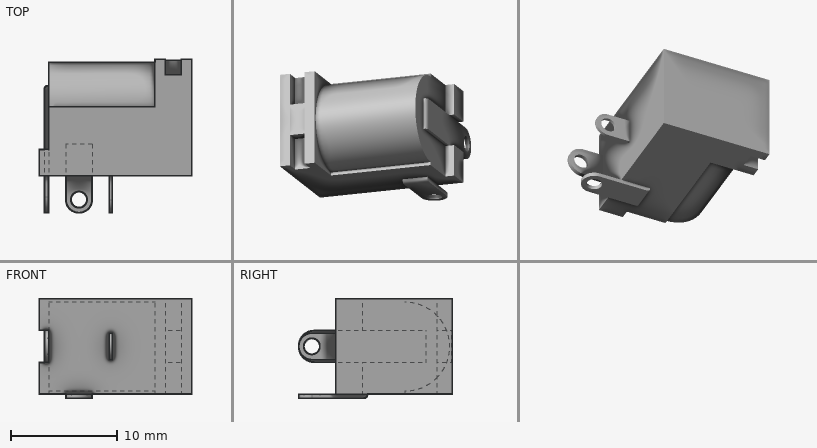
import cadquery as cq


LENGTH = 14.4
DEPTH = 11.0
HEIGHT = 9.0
BARREL_RADIUS = 4.2
BARREL_Y = 6.51
FLANGE_THICKNESS = 3.5
SHOULDER_LENGTH = 0.9
SHOULDER_DEPTH = 2.5
FLANGE_X = LENGTH - FLANGE_THICKNESS

SLOT_OFFSET = 1.0
SLOT_SIZE = 1.5
CONTACT_RECESS = 0.1
CONTACT_HEIGHT = 3.0
SLOT_X = FLANGE_X + SLOT_OFFSET
SLOT_Y = DEPTH - SLOT_SIZE

TERMINAL_REACH = 14.5 - DEPTH
HOLE_DIAMETER = 1.5
HOLE_REACH = 2.25
BEND_RADIUS = 0.35
NARROW_WIDTH = 2.5
NARROW_TIP_RADIUS = NARROW_WIDTH / 2

END_WIDTH = 3.0
END_THICKNESS = 0.4
END_INNER_Y = 8.51

BOTTOM_THICKNESS = 0.39
BOTTOM_X = 3.75
BOTTOM_INNER_Y = 3.0

MIDDLE_THICKNESS = 0.3
MIDDLE_X = 6.6


def block(x_size, y_size, z_size, x_start, y_start):
    """Box placed by its low X and Y faces and centred on z = 0."""
    box = cq.Workplane("XY").box(x_size, y_size, z_size, centered=(False, False, True))
    return box.translate((x_start, y_start, 0))


def make_housing():
    barrel_length = FLANGE_X - SHOULDER_LENGTH
    base = block(barrel_length, BARREL_Y, HEIGHT, SHOULDER_LENGTH, 0)
    barrel = (
        cq.Workplane("YZ", origin=(SHOULDER_LENGTH, BARREL_Y, 0))
        .circle(BARREL_RADIUS)
        .extrude(barrel_length)
    )
    flange = block(FLANGE_THICKNESS, DEPTH, HEIGHT, FLANGE_X, 0)
    shoulder = block(SHOULDER_LENGTH, SHOULDER_DEPTH, HEIGHT, 0, 0)
    channel = block(SHOULDER_LENGTH, SHOULDER_DEPTH, END_WIDTH, 0, 0)
    slot = block(SLOT_SIZE, SLOT_SIZE, HEIGHT, SLOT_X, SLOT_Y)
    return base.union(barrel).union(flange).union(shoulder.cut(channel)).cut(slot)


def make_contact():
    return block(SLOT_SIZE, SLOT_SIZE - CONTACT_RECESS, CONTACT_HEIGHT, SLOT_X, SLOT_Y)


def make_strip(width, thickness, inner_y, tip_radius):
    """Flat strip on z = 0 to thickness, centred on x = 0, with a round drilled tip."""
    half = width / 2
    tip_start = tip_radius - TERMINAL_REACH
    strip = (
        cq.Workplane("XY")
        .moveTo(-half, inner_y)
        .lineTo(-half, tip_start)
        .threePointArc((0, -TERMINAL_REACH), (half, tip_start))
        .lineTo(half, inner_y)
        .close()
        .extrude(thickness)
    )
    hole = cq.Workplane("XY").center(0, -HOLE_REACH).circle(HOLE_DIAMETER / 2).extrude(thickness)
    return strip.cut(hole)


def stand_toward_minus_x(strip):
    """Turn a flat strip upright so that its top face looks along -X."""
    return strip.rotate((0, 0, 0), (0, 1, 0), -90)


def round_inner_end(strip):
    """Round the top edge at the inner end of a flat strip."""
    return strip.faces(">Y").edges(">Z").fillet(BEND_RADIUS)


def make_end_terminal():
    strip = make_strip(END_WIDTH, END_THICKNESS, END_INNER_Y, END_WIDTH / 2)
    return stand_toward_minus_x(round_inner_end(strip)).translate((SHOULDER_LENGTH, 0, 0))


def make_bottom_terminal():
    strip = make_strip(NARROW_WIDTH, BOTTOM_THICKNESS, BOTTOM_INNER_Y, NARROW_TIP_RADIUS)
    upside_down = round_inner_end(strip).rotate((0, 0, 0), (0, 1, 0), 180)
    return upside_down.translate((BOTTOM_X, 0, -HEIGHT / 2))


def make_middle_terminal():
    strip = make_strip(NARROW_WIDTH, MIDDLE_THICKNESS, 0, NARROW_TIP_RADIUS)
    return stand_toward_minus_x(strip).translate((MIDDLE_X + MIDDLE_THICKNESS, 0, 0))


housing = make_housing()
contact = make_contact()
end_terminal = make_end_terminal()
bottom_terminal = make_bottom_terminal()
middle_terminal = make_middle_terminal()

result = cq.Compound.makeCompound([
    housing.val(),
    contact.val(),
    end_terminal.val(),
    bottom_terminal.val(),
    middle_terminal.val(),
])